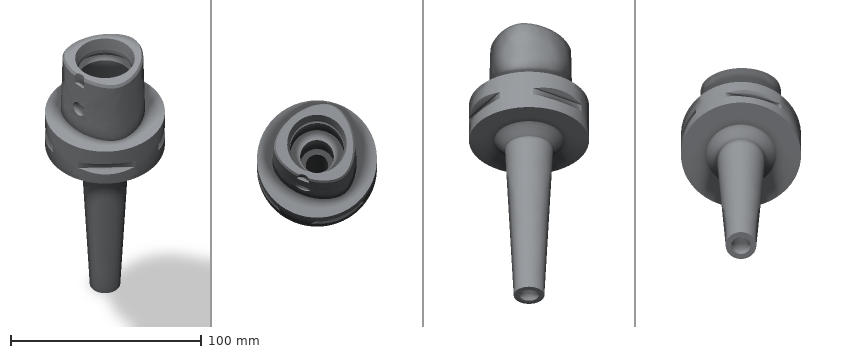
import cadquery as cq
import math

total_height = 158.0
shank_height = 37.6
flange_thickness = 22.5
collar_height = 5.7
flange_top = total_height - shank_height
flange_bottom = flange_top - flange_thickness
stem_top = flange_bottom - collar_height

flange_radius = 31.52
stem_top_radius = 12.6
stem_tip_radius = 8.0
collar_radius = stem_top_radius + collar_height

shank_mean_radius = 22.1
lobe_height = 1.4
shank_taper = 1 / 40
rim_chamfer_height = 1.6
rim_chamfer_inset = 1.0
lobe_points = 48

mouth_radius = 15.6
bore_radius = 14.2
mouth_depth = 6.6
lip_depth = 8.7
clamp_groove_radius = 18.6
clamp_groove_depth = 14.0
bore_depth = 31.6
screw_bore_radius = 8.8
screw_bore_depth = 53.7
relief_radius = 5.8
relief_depth = 120.1
tool_bore_radius = 5.0

key_radius = 4.3
key_inner_y = -17.9
key_depth = 6.3
cross_hole_radius = 4.1
cross_hole_drop = 22.5
cross_hole_floor_y = -15.3

notch_count = 4
notch_floor_distance = 27.6
notch_flare_distance = 28.6
notch_floor_height = 4.3
notch_flare = 1.6
notch_depth_from_top = 50.0


def lobed_wire(mean_radius, z):
    """Closed curve of constant width with one lobe pointing to +Y."""
    points = []
    for i in range(lobe_points):
        angle = 2 * math.pi * i / lobe_points
        support = mean_radius - lobe_height * math.sin(3 * angle)
        slope = -3 * lobe_height * math.cos(3 * angle)
        x = support * math.cos(angle) - slope * math.sin(angle)
        y = support * math.sin(angle) + slope * math.cos(angle)
        points.append(cq.Vector(x, y, z))
    return cq.Wire.assembleEdges([cq.Edge.makeSpline(points, periodic=True)])


def make_shank():
    chamfer_start = total_height - rim_chamfer_height
    rim_radius = shank_mean_radius - shank_taper * (chamfer_start - flange_top)
    base = lobed_wire(shank_mean_radius, flange_top)
    shoulder = lobed_wire(rim_radius, chamfer_start)
    rim = lobed_wire(rim_radius - rim_chamfer_inset, total_height)
    body = cq.Workplane(cq.Solid.makeLoft([base, shoulder], True))
    return body.union(cq.Workplane(cq.Solid.makeLoft([shoulder, rim], True)))


def revolve_profile(points):
    """Revolve a closed (radius, height) outline about Z."""
    return cq.Workplane("XZ").polyline(points).close().revolve(360, (0, 0), (0, 1))


def make_flange_and_stem():
    return revolve_profile([
        (0, 0),
        (stem_tip_radius, 0),
        (stem_top_radius, stem_top),
        (collar_radius, flange_bottom),
        (flange_radius, flange_bottom),
        (flange_radius, flange_top),
        (0, flange_top),
    ])


def make_bore():
    steps = [
        (0, 0),
        (mouth_radius, 0),
        (bore_radius, mouth_depth),
        (bore_radius, lip_depth),
        (clamp_groove_radius, lip_depth),
        (clamp_groove_radius, clamp_groove_depth),
        (bore_radius, clamp_groove_depth),
        (bore_radius, bore_depth),
        (screw_bore_radius, bore_depth),
        (screw_bore_radius, screw_bore_depth),
        (relief_radius, screw_bore_depth),
        (relief_radius, relief_depth),
        (tool_bore_radius, relief_depth),
        (tool_bore_radius, total_height),
        (0, total_height),
    ]
    return revolve_profile([(radius, total_height - depth) for radius, depth in steps])


def make_key_slot():
    return (
        cq.Workplane("XY", origin=(0, key_inner_y - key_radius, total_height - key_depth))
        .circle(key_radius)
        .extrude(key_depth)
    )


def make_cross_hole():
    return (
        cq.Workplane("XZ", origin=(0, cross_hole_floor_y, total_height - cross_hole_drop))
        .circle(cross_hole_radius)
        .extrude(flange_radius)
    )


def make_notch(angle):
    """Flat-bottomed slot with a flared mouth, cut straight across the flange rim."""
    center = total_height - notch_depth_from_top
    floor_half = notch_floor_height / 2
    mouth_half = floor_half + notch_flare
    return (
        cq.Workplane("XZ")
        .moveTo(notch_floor_distance, center - floor_half)
        .lineTo(notch_flare_distance, center - floor_half)
        .lineTo(flange_radius, center - mouth_half)
        .lineTo(flange_radius, center + mouth_half)
        .lineTo(notch_flare_distance, center + floor_half)
        .lineTo(notch_floor_distance, center + floor_half)
        .close()
        .extrude(flange_radius, both=True)
        .rotate((0, 0, 0), (0, 0, 1), angle)
    )


result = make_flange_and_stem().union(make_shank())
result = result.cut(make_bore()).cut(make_key_slot()).cut(make_cross_hole())
for index in range(notch_count):
    result = result.cut(make_notch((index + 0.5) * 360 / notch_count))